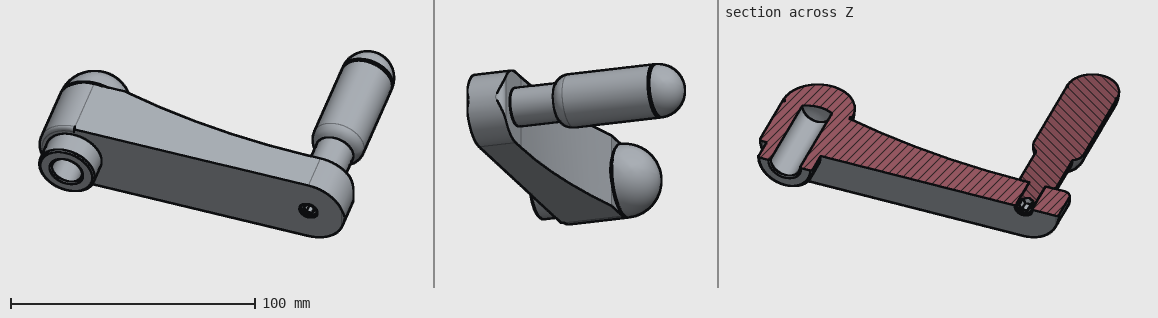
import cadquery as cq
import math


arm_radius = 15.3
arm_length = 131.5
axis_spacing = arm_length - 2 * arm_radius
hub_height = 26.5
arm_tip_height = 15.9
slope_start_x = 13.4
slope_end_x = 94.7
hub_edge_radius = 1.6
hub_edge_turn = -90
tip_bottom_radius = 1.0
tip_top_radius = 3.4

groove_width = 0.8
groove_depth = 0.8

boss_radius = 12.0
boss_length = 10.0
boss_chamfer = 0.8
bore_radius = 6.5
bore_chamfer = 0.8
bore_floor_radius = 13.2
bore_floor_rise = bore_floor_radius - math.sqrt(bore_floor_radius**2 - bore_radius**2)

pin_radius = 3.4
pin_hole_chamfer = 0.5
pin_recess = 1.2

stem_radius = 8.0
stem_foot_chamfer = 0.5
grip_radius = 11.0
grip_start = 34.8
grip_corner_end = 40.0
handle_length = 88.9
handle_groove_depth = 0.4
grip_dome_base = handle_length - grip_radius
grip_end = grip_dome_base - groove_width
socket_across_flats = 4.1
socket_corner_circle = socket_across_flats / math.cos(math.pi / 6)
socket_depth = 4.0
socket_tip_angle = 118
socket_tip_length = socket_corner_circle / 2 / math.tan(math.radians(socket_tip_angle / 2))


def rod(radius, start, end):
    """Cylinder around the Y axis from Y = start to Y = end."""
    return cq.Workplane("XZ", origin=(0, start, 0)).circle(radius).extrude(start - end)


def cone(base_radius, end_radius, start, length):
    """Cone or conical frustum around the Y axis, narrowing or widening towards +Y."""
    return cq.Workplane(
        cq.Solid.makeCone(base_radius, end_radius, length, cq.Vector(0, start, 0), cq.Vector(0, 1, 0))
    )


def dome(radius, base):
    """Half ball around the Y axis, rising towards +Y from Y = base."""
    mid_offset = radius * math.sqrt(0.5)
    return (
        cq.Workplane("XY")
        .moveTo(0, base)
        .lineTo(radius, base)
        .threePointArc((mid_offset, base + mid_offset), (0, base + radius))
        .close()
        .revolve(360, (0, 0, 0), (0, 1, 0))
    )


def arm_blank():
    """Bar with round ends and a concave slope down from the hub to the tip."""
    run = slope_end_x - slope_start_x
    drop = hub_height - arm_tip_height
    slope_radius = (run**2 + drop**2) / (2 * drop)
    half_angle = math.atan2(drop, run)
    slope_mid_x = slope_end_x - slope_radius * math.sin(half_angle)
    slope_mid_y = arm_tip_height + slope_radius * (1 - math.cos(half_angle))
    tip_x = axis_spacing + arm_radius
    profile = (
        cq.Workplane("XY", origin=(0, 0, -arm_radius))
        .moveTo(-arm_radius, 0)
        .lineTo(tip_x, 0)
        .lineTo(tip_x, arm_tip_height)
        .lineTo(slope_end_x, arm_tip_height)
        .threePointArc((slope_mid_x, slope_mid_y), (slope_start_x, hub_height))
        .lineTo(-arm_radius, hub_height)
        .close()
        .extrude(2 * arm_radius)
    )
    profile = profile.edges("|Z").edges(">X").edges("<Y").fillet(tip_bottom_radius)
    profile = profile.edges("|Z").edges(">X").edges(">Y").fillet(tip_top_radius)
    plan = (
        cq.Workplane("XZ")
        .center(axis_spacing / 2, 0)
        .slot2D(arm_length, 2 * arm_radius)
        .extrude(-hub_height)
    )
    return profile.intersect(plan)


def hub_edge_waste():
    """Material outside the rounded lower edge on the outer half of the hub."""
    mid_offset = hub_edge_radius * (1 - math.sqrt(0.5))
    return (
        cq.Workplane("XY")
        .moveTo(-arm_radius, 0)
        .lineTo(-arm_radius, hub_edge_radius)
        .threePointArc((-arm_radius + mid_offset, mid_offset), (-arm_radius + hub_edge_radius, 0))
        .close()
        .revolve(180, (0, 0, 0), (0, 1, 0))
        .rotate((0, 0, 0), (0, 1, 0), hub_edge_turn)
    )


def make_arm():
    arm = arm_blank().cut(hub_edge_waste())

    cap_base = hub_height + groove_width
    arm = arm.union(rod(arm_radius - groove_depth, hub_height - groove_width, cap_base))
    arm = arm.union(dome(arm_radius, cap_base))

    arm = arm.union(rod(boss_radius, -boss_length, hub_height).faces("<Y").chamfer(boss_chamfer))

    floor_ball_center = hub_height + bore_floor_rise - bore_floor_radius
    bore = rod(bore_radius, -boss_length, floor_ball_center)
    bore_end = rod(bore_radius, floor_ball_center, hub_height + bore_floor_radius)
    bore = bore.union(bore_end.intersect(dome(bore_floor_radius, floor_ball_center)))
    arm = arm.cut(bore)
    arm = arm.cut(cone(bore_radius + bore_chamfer, bore_radius, -boss_length, bore_chamfer))

    pin_hole = rod(pin_radius, 0, arm_tip_height)
    pin_hole = pin_hole.union(cone(pin_radius + pin_hole_chamfer, pin_radius, 0, pin_hole_chamfer))
    return arm.cut(pin_hole.translate((axis_spacing, 0, 0)))


def make_handle():
    corner_height = grip_corner_end - grip_start
    step = grip_radius - stem_radius
    corner_radius = (step**2 + corner_height**2) / (2 * step)
    half_angle = math.atan2(step, corner_height)
    corner_mid = (
        grip_radius - corner_radius * (1 - math.cos(half_angle)),
        grip_corner_end - corner_radius * math.sin(half_angle),
    )
    groove_radius = grip_radius - handle_groove_depth
    handle = (
        cq.Workplane("XY")
        .moveTo(0, pin_recess)
        .lineTo(pin_radius, pin_recess)
        .lineTo(pin_radius, arm_tip_height)
        .lineTo(stem_radius - stem_foot_chamfer, arm_tip_height)
        .lineTo(stem_radius, arm_tip_height + stem_foot_chamfer)
        .lineTo(stem_radius, grip_start)
        .threePointArc(corner_mid, (grip_radius, grip_corner_end))
        .lineTo(grip_radius, grip_end)
        .lineTo(groove_radius, grip_end)
        .lineTo(groove_radius, grip_dome_base)
        .lineTo(0, grip_dome_base)
        .close()
        .revolve(360, (0, 0, 0), (0, 1, 0))
    )
    handle = handle.union(dome(grip_radius, grip_dome_base))

    straight_end = pin_recess + socket_depth
    bore = rod(socket_corner_circle / 2, pin_recess, straight_end)
    bore = bore.union(cone(socket_corner_circle / 2, 0, straight_end, socket_tip_length))
    hexagon = (
        cq.Workplane("XZ", origin=(0, pin_recess, 0))
        .polygon(6, socket_corner_circle)
        .extrude(-socket_depth - socket_tip_length)
    )
    handle = handle.cut(hexagon.intersect(bore))
    return handle.translate((axis_spacing, 0, 0))


arm = make_arm()
handle = make_handle()
result = cq.Compound.makeCompound([arm.val(), handle.val()])